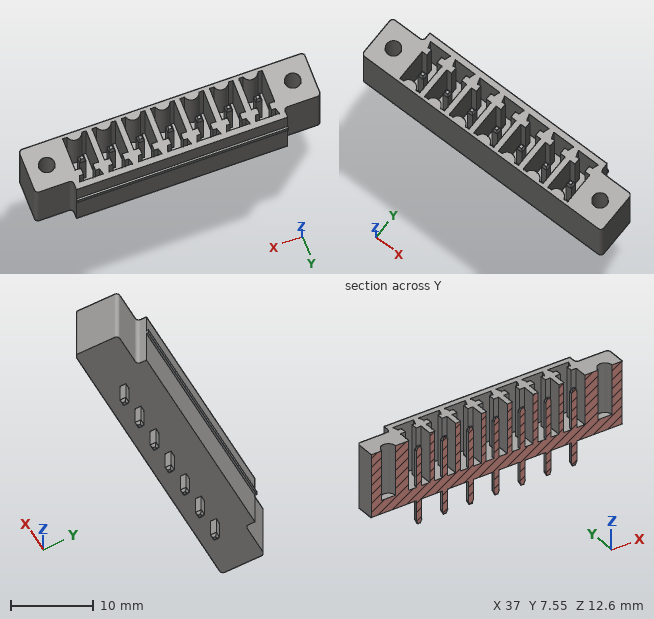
import cadquery as cq

length = 37.05
flange_depth = 6.0
rear_wall_length = 27.42
housing_depth = 7.3
housing_height = 9.2
corner_radius = 0.5

rib_depth = 0.25
rib_bottom = 5.65
rib_height = 0.63

contact_count = 7
row_length = 22.85
pitch = row_length / (contact_count - 1)
row_y = 3.0
contact_xs = [i * pitch - row_length / 2 for i in range(contact_count)]

floor_thickness = 2.0
pocket_depth = housing_height - floor_thickness
pocket_width = 3.05
pocket_front = 0.45
neck_front = 4.8
neck_width = 1.55
keyway_front = 5.7
keyway_front_width = 2.55
keyway_back = 6.5

key_radius = 1.0
key_center_y = 0.15

pin_width = 0.8
pin_tip_width = 0.4
pin_taper = 0.52
pin_bottom = -3.4
pin_top = 7.8

mount_hole_diameter = 2.0
mount_hole_spacing = 31.95
mount_hole_depth = pocket_depth


def box(width, depth, height, base_z=0.0, front_y=0.0):
    """Block centred on X, starting at the given Y and Z."""
    return (
        cq.Workplane("XY", origin=(0, front_y, base_z))
        .rect(width, depth)
        .extrude(height)
        .translate((0, depth / 2, 0))
    )


def make_housing():
    flanges = box(length, flange_depth, housing_height)
    flanges = flanges.edges("|Z").fillet(corner_radius)
    rear_wall = box(rear_wall_length, housing_depth, housing_height)
    housing = flanges.union(rear_wall)

    margin = corner_radius / 2
    inside_corners = cq.selectors.BoxSelector(
        (-rear_wall_length / 2 - margin, flange_depth - margin, 0),
        (rear_wall_length / 2 + margin, flange_depth + margin, housing_height),
    )
    housing = housing.edges("|Z").edges(inside_corners).fillet(corner_radius)

    rib = box(rear_wall_length, rib_depth, rib_height, rib_bottom, housing_depth)
    return housing.union(rib)


def make_pocket():
    """Volume removed for one contact at X = 0."""
    right_side = [
        (pocket_width / 2, pocket_front),
        (pocket_width / 2, neck_front),
        (neck_width / 2, neck_front),
        (neck_width / 2, keyway_front),
        (keyway_front_width / 2, keyway_front),
        (pocket_width / 2, keyway_back),
    ]
    left_side = [(-x, y) for x, y in reversed(right_side)]
    floor = cq.Workplane("XY", origin=(0, 0, floor_thickness))
    chamber = floor.polyline(right_side + left_side).close().extrude(pocket_depth)
    key = floor.center(0, key_center_y).circle(key_radius).extrude(pocket_depth)
    return chamber.cut(key)


def make_pin():
    """Square pin at X = 0, tapered at both ends."""
    shank_bottom = pin_bottom + pin_taper
    shank_top = pin_top - pin_taper

    def tapered_end(shank_z, tip_offset):
        return (
            cq.Workplane("XY", origin=(0, row_y, shank_z))
            .rect(pin_width, pin_width)
            .workplane(offset=tip_offset)
            .rect(pin_tip_width, pin_tip_width)
            .loft(ruled=True)
        )

    shank = box(pin_width, pin_width, shank_top - shank_bottom, shank_bottom, row_y - pin_width / 2)
    return shank.union(tapered_end(shank_top, pin_taper)).union(tapered_end(shank_bottom, -pin_taper))


housing = make_housing()
pocket = make_pocket()
pin = make_pin()

for x in contact_xs:
    housing = housing.cut(pocket.translate((x, 0, 0)))
    housing = housing.union(pin.translate((x, 0, 0)))

mount_holes = (
    cq.Workplane("XY", origin=(0, row_y, housing_height))
    .pushPoints([(-mount_hole_spacing / 2, 0), (mount_hole_spacing / 2, 0)])
    .circle(mount_hole_diameter / 2)
    .extrude(-mount_hole_depth)
)
result = housing.cut(mount_holes)